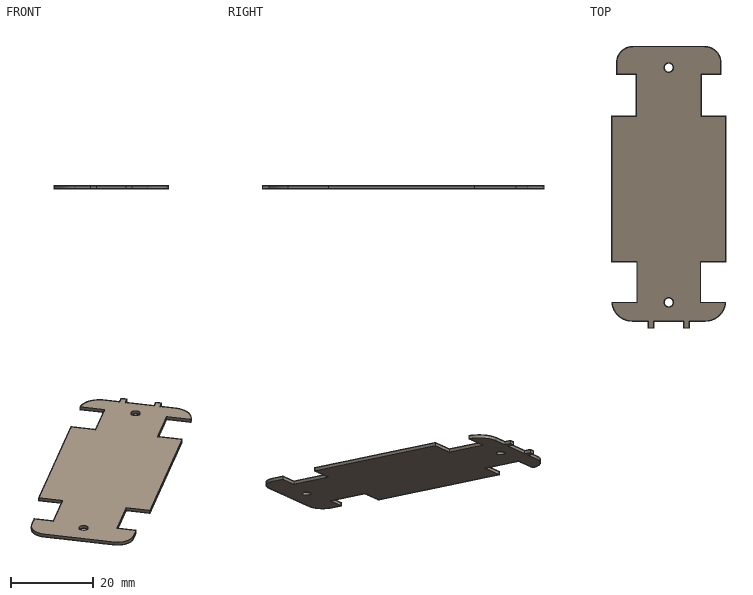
import cadquery as cq
import math

length = 68.6
body_width = 27.8
thickness = 0.8

upper_head_depth = 6.8
body_start = 16.95
body_end = 52.5
lower_head_start = 62.35
tab_length = 1.65

upper_head_width = 25.45
upper_neck_width = 15.9
lower_neck_width = 15.5
lower_head_width = 27.8

upper_corner_radius = 4.0
lower_corner_radius = 5.0

tab_width = 1.45
tab_spacing = 8.65

hole_diameter = 2.2
upper_hole_depth = 5.15
lower_hole_depth = lower_head_start

top_y = length / 2
upper_head_y = top_y - upper_head_depth
body_top_y = top_y - body_start
body_bottom_y = top_y - body_end
lower_head_y = top_y - lower_head_start
lower_edge_y = -length / 2 + tab_length


def slab(width, low_y, high_y, center_x=0):
    """Full-thickness rectangle between two Y positions."""
    return (
        cq.Workplane("XY")
        .center(center_x, (low_y + high_y) / 2)
        .rect(width, high_y - low_y)
        .extrude(thickness)
    )


def upper_head():
    head = slab(upper_head_width, upper_head_y, top_y)
    return head.edges("|Z and >Y").fillet(upper_corner_radius)


def lower_head():
    """Head whose corner arcs are cut off just below their side tangent points."""
    arc_y = lower_edge_y + lower_corner_radius
    arc_x = lower_head_width / 2 - lower_corner_radius
    arc_reach = math.sqrt(lower_corner_radius**2 - (arc_y - lower_head_y) ** 2)
    shoulder_x = arc_x + arc_reach
    diagonal = lower_corner_radius / math.sqrt(2)
    return (
        cq.Workplane("XY")
        .moveTo(-shoulder_x, lower_head_y)
        .threePointArc((-arc_x - diagonal, arc_y - diagonal), (-arc_x, lower_edge_y))
        .lineTo(arc_x, lower_edge_y)
        .threePointArc((arc_x + diagonal, arc_y - diagonal), (shoulder_x, lower_head_y))
        .close()
        .extrude(thickness)
    )


plate = slab(body_width, body_bottom_y, body_top_y)
plate = plate.union(slab(upper_neck_width, body_top_y, upper_head_y))
plate = plate.union(slab(lower_neck_width, lower_head_y, body_bottom_y))
plate = plate.union(upper_head())
plate = plate.union(lower_head())

for side in (-1, 1):
    plate = plate.union(slab(tab_width, -length / 2, lower_edge_y, side * tab_spacing / 2))

hole_points = [(0, top_y - upper_hole_depth), (0, top_y - lower_hole_depth)]
holes = cq.Workplane("XY").pushPoints(hole_points).circle(hole_diameter / 2).extrude(thickness)

result = plate.cut(holes)